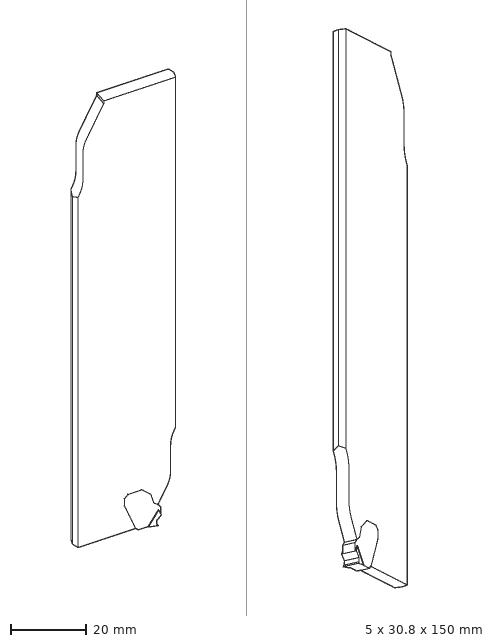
import cadquery as cq
import math

BLADE_THICKNESS = 4.0
BLADE_WIDTH = 30.8
TOP_Z = 150.0
BLADE_BOTTOM_Z = 1.2
BEVEL_DEPTH = 0.6

RELIEF_DEPTH = 2.1
NOSE_INSET = 8.4
NOSE_HEIGHT = 0.9
RAMP_FOOT_DROP = 13.0
STRAIGHT_END_DROP = 24.5
RUNOUT_DROP = 30.8
RAMP_FOOT_RADIUS = 10.0
CUT_MARGIN = 1.5

HEAD_WIDTH = 5.0
HEAD_ROOT_WIDTH = 4.5
TIP = (24.8, 0.0)
FACET_TOP = (24.9, 5.1)
FACET_BOTTOM = (21.8, 0.5)
HEAD_RIM = [(24.3, 0.6), (24.3, 1.8), (25.6, 3.3), (25.6, 5.7)]
INSERT_BACK = [
    (24.8, 6.9),
    (23.5, 7.8),
    (22.6, 11.1),
    (20.0, 13.6),
    (15.8, 13.6),
    (14.7, 12.6),
    (14.7, 10.0),
    (18.0, 1.4),
    (18.8, 0.5),
]


def extrude_outline(outline, thickness):
    """Extrude a closed YZ outline symmetrically about X = 0."""
    return outline.extrude(thickness / 2, both=True)


def make_relief():
    """Material removed beside the upper end of the front long edge."""
    runout_rise = STRAIGHT_END_DROP - RUNOUT_DROP
    outline = (
        cq.Workplane("YZ")
        .moveTo(-CUT_MARGIN, TOP_Z + CUT_MARGIN)
        .lineTo(NOSE_INSET, TOP_Z + CUT_MARGIN)
        .lineTo(NOSE_INSET, TOP_Z - NOSE_HEIGHT)
        .lineTo(RELIEF_DEPTH, TOP_Z - RAMP_FOOT_DROP)
        .lineTo(RELIEF_DEPTH, TOP_Z - STRAIGHT_END_DROP)
        .tangentArcPoint((-RELIEF_DEPTH, runout_rise))
        .lineTo(-CUT_MARGIN, TOP_Z - RUNOUT_DROP)
        .close()
    )
    ramp_foot = cq.selectors.NearestToPointSelector((0, RELIEF_DEPTH, TOP_Z - RAMP_FOOT_DROP))
    return extrude_outline(outline, 2 * BLADE_THICKNESS).edges(ramp_foot).fillet(RAMP_FOOT_RADIUS)


def make_insert():
    """Flat insert whose head widens evenly from the facet line to the tip."""
    body = extrude_outline(
        cq.Workplane("YZ").polyline([TIP, *HEAD_RIM, *INSERT_BACK, FACET_BOTTOM]).close(),
        BLADE_THICKNESS,
    )
    head = extrude_outline(
        cq.Workplane("YZ").polyline([TIP, *HEAD_RIM[:3], FACET_TOP, FACET_BOTTOM]).close(),
        HEAD_WIDTH,
    )

    line_y = FACET_TOP[0] - FACET_BOTTOM[0]
    line_z = FACET_TOP[1] - FACET_BOTTOM[1]
    line_length = math.hypot(line_y, line_z)
    across_y = line_z / line_length
    across_z = -line_y / line_length
    tip_reach = (TIP[0] - FACET_BOTTOM[0]) * across_y + (TIP[1] - FACET_BOTTOM[1]) * across_z
    section = cq.Plane(
        origin=(0, *FACET_BOTTOM),
        xDir=(0, across_y, across_z),
        normal=(0, line_y, line_z),
    )
    taper = (
        cq.Workplane(section)
        .polyline([
            (0, -HEAD_ROOT_WIDTH / 2),
            (tip_reach, -HEAD_WIDTH / 2),
            (tip_reach, HEAD_WIDTH / 2),
            (0, HEAD_ROOT_WIDTH / 2),
        ])
        .close()
        .extrude(2 * line_length, both=True)
    )
    return body.union(head.intersect(taper))


def make_blade(insert):
    """Blade with ridged long edges, two end reliefs and a seat for the insert."""
    half = BLADE_THICKNESS / 2
    blade = (
        cq.Workplane("XY", origin=(0, 0, BLADE_BOTTOM_Z))
        .polyline([
            (0, 0),
            (half, BEVEL_DEPTH),
            (half, BLADE_WIDTH - BEVEL_DEPTH),
            (0, BLADE_WIDTH),
            (-half, BLADE_WIDTH - BEVEL_DEPTH),
            (-half, BEVEL_DEPTH),
        ])
        .close()
        .extrude(TOP_Z - BLADE_BOTTOM_Z)
    )
    relief = make_relief()
    center = (0, BLADE_WIDTH / 2, (TOP_Z + BLADE_BOTTOM_Z) / 2)
    axis_end = (1, *center[1:])
    return blade.cut(relief).cut(relief.rotate(center, axis_end, 180)).cut(insert)


insert = make_insert()
blade = make_blade(insert)

result = cq.Compound.makeCompound([blade.val(), insert.val()])